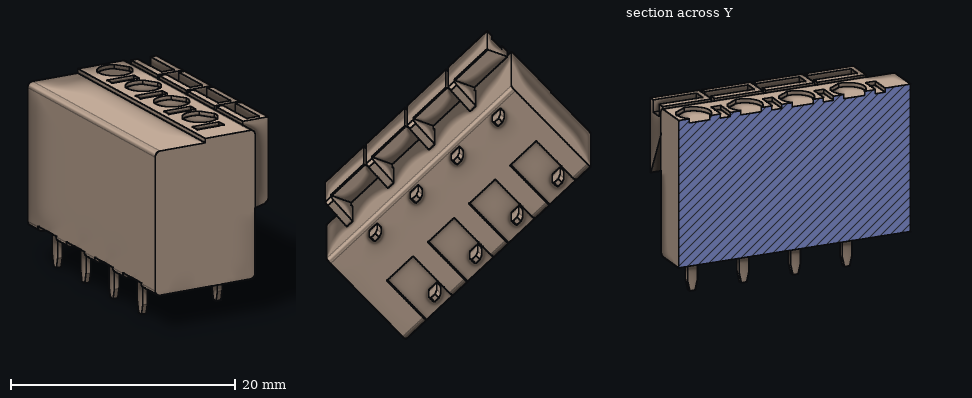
import cadquery as cq

module_count = 4
total_length = 22.85
pitch = total_length / (module_count + 0.5)

body_depth = 10.29
body_height = 14.0
front_depth = 5.15
step_drop = 0.41
corner_radius = 0.5

entry_radius = 1.6
entry_x = 2.05
entry_y = body_depth - 2.5
entry_depth = 0.4
flat_distance = 1.42
flat_direction = 124

test_width = 0.94
test_length = 2.77
test_rear_margin = 1.74
test_depth = 0.4

relief_start = 1.83
relief_height = 0.55

pin_width = 0.98
pin_thickness = 0.5
pin_length = 3.31
pin_tip_width = 0.53
pin_taper_length = 1.0
pin_row_spacing = 7.68
front_pin_y = 1.6

lever_side_gap = 0.27
lever_length = pitch - lever_side_gap
lever_reach = 2.81
lever_rear_gap = 0.18
lever_wedge_top = 2.05
lever_wedge_bottom = 7.06
lever_edge = 0.11

lever_slot_wall = 0.65
lever_slot_width = 1.28
lever_slot_end_wall = 0.55
lever_slot_depth = 1.17

rib_width = 0.73
rib_top_drop = 3.0
rib_bottom_drop = 8.7
rib_corner_drop = 8.12
rib_chamfer_y = 0.35
rib_chamfer_z = 0.32

rear_y = body_depth + lever_reach
lever_front_y = body_depth + lever_rear_gap


def box(x, y, z, length, depth, height):
    """Box with its left, front, lower corner at (x, y, z)."""
    return cq.Workplane("XY").box(length, depth, height, centered=False).translate((x, y, z))


def side_profile(points, x, length):
    """Extrude a closed (y, z) outline along +X, starting at x."""
    return cq.Workplane("YZ").polyline(points).close().extrude(length).translate((x, 0, 0))


def housing():
    block = box(0, 0, 0, total_length, body_depth, body_height)
    step = box(0, 0, body_height - step_drop, total_length, front_depth, step_drop)
    body = block.cut(step)
    for end_face in ("<Y", ">Y"):
        body = body.faces(end_face).edges("|X").fillet(corner_radius)
    return body


def wire_entry(x):
    floor = body_height - entry_depth
    disc = cq.Workplane("XY").circle(entry_radius).extrude(entry_depth)
    trim = box(flat_distance, -entry_radius, 0, entry_radius, 2 * entry_radius, entry_depth)
    trim = trim.rotate((0, 0, 0), (0, 0, 1), flat_direction)
    return disc.cut(trim).translate((x + entry_x, entry_y, floor))


def test_slot(x):
    y = body_depth - test_rear_margin - test_length
    return box(x + pitch - test_width, y, body_height - test_depth, test_width, test_length, test_depth)


def underside_relief(x):
    return box(x + relief_start, 0, 0, pitch - relief_start, front_depth, relief_height)


def pin(x, y):
    """Flat pin with a tapered tip, rooted at the roof of the relief."""
    half_width = pin_width / 2
    half_tip = pin_tip_width / 2
    taper_z = pin_taper_length - pin_length
    outline = [
        (-half_width, relief_height),
        (half_width, relief_height),
        (half_width, taper_z),
        (half_tip, -pin_length),
        (-half_tip, -pin_length),
        (-half_width, taper_z),
    ]
    blade = cq.Workplane("XZ").polyline(outline).close().extrude(pin_thickness / 2, both=True)
    return blade.translate((x + pitch / 2, y, 0))


def lever(x):
    """Wedge-shaped push lever with a screwdriver slot open to the left."""
    left = x + lever_side_gap
    wedge = side_profile(
        [
            (lever_front_y, body_height),
            (rear_y, body_height),
            (rear_y, body_height - lever_wedge_bottom),
            (rear_y - lever_edge, body_height - lever_wedge_bottom),
            (lever_front_y, body_height - lever_wedge_top),
        ],
        left,
        lever_length,
    )
    slot = box(
        left,
        rear_y - lever_slot_wall - lever_slot_width,
        body_height - lever_slot_depth,
        lever_length - lever_slot_end_wall,
        lever_slot_width,
        lever_slot_depth,
    )
    return wedge.cut(slot)


def lever_rib(x):
    """Thin rib at the right of the lever, joining it to the rear of the housing."""
    rib_top = body_height - rib_top_drop
    corner_z = body_height - rib_corner_drop
    outline = [
        (body_depth, rib_top),
        (lever_front_y, rib_top),
        (lever_front_y, body_height - lever_wedge_top),
        (rear_y, body_height - lever_wedge_top),
        (rear_y, corner_z + rib_chamfer_z),
        (rear_y - rib_chamfer_y, corner_z),
        (body_depth, body_height - rib_bottom_drop),
    ]
    return side_profile(outline, x + pitch - rib_width, rib_width)


result = housing()
for index in range(module_count):
    module_x = index * pitch
    for recess in (wire_entry(module_x), test_slot(module_x), underside_relief(module_x)):
        result = result.cut(recess)
    for pin_y in (front_pin_y, front_pin_y + pin_row_spacing):
        result = result.union(pin(module_x, pin_y))
    result = result.union(lever_rib(module_x)).union(lever(module_x))